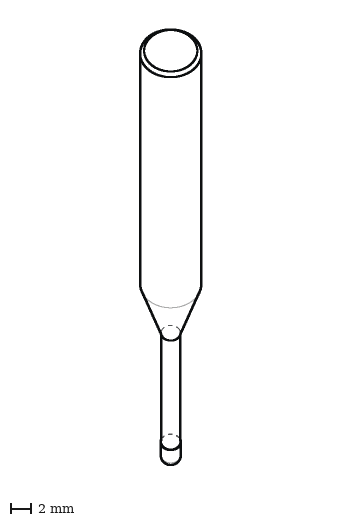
import cadquery as cq
import math

total_length = 64.0
shank_radius = 3.0
shank_chamfer = 0.4
neck_radius = 0.95
neck_top = 20.0
taper_half_angle = 15.0
head_radius = 1.0
head_length = 3.0

taper_length = (shank_radius - neck_radius) / math.tan(math.radians(taper_half_angle))
taper_top = neck_top + taper_length


def make_shank():
    """Chamfered cylindrical shank with the conical taper at its lower end."""
    half_profile = (
        cq.Workplane("XZ")
        .moveTo(0, neck_top)
        .lineTo(neck_radius, neck_top)
        .lineTo(shank_radius, taper_top)
        .lineTo(shank_radius, total_length - shank_chamfer)
        .lineTo(shank_radius - shank_chamfer, total_length)
        .lineTo(0, total_length)
        .close()
    )
    return half_profile.revolve(360, (0, 0, 0), (0, 1, 0))


def make_neck():
    """Slender cylinder between the cutting head and the taper."""
    neck_length = neck_top - head_length
    return cq.Workplane("XY").workplane(offset=head_length).circle(neck_radius).extrude(neck_length)


def make_head():
    """Cutting head: a short cylinder ending in a hemispherical ball nose."""
    arc_middle = head_radius * math.sqrt(0.5)
    half_profile = (
        cq.Workplane("XZ")
        .moveTo(0, 0)
        .threePointArc((arc_middle, head_radius - arc_middle), (head_radius, head_radius))
        .lineTo(head_radius, head_length)
        .lineTo(0, head_length)
        .close()
    )
    return half_profile.revolve(360, (0, 0, 0), (0, 1, 0))


shank = make_shank()
neck = make_neck()
head = make_head()

result = cq.Compound.makeCompound([shank.val(), neck.val(), head.val()])